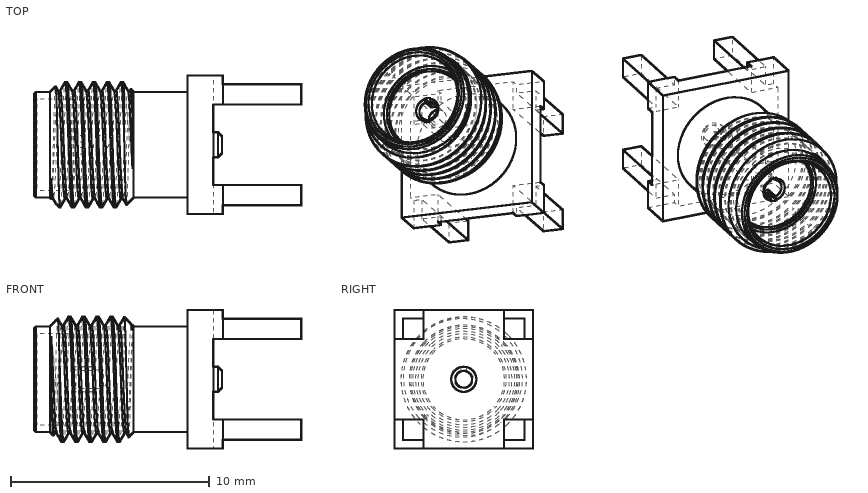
import cadquery as cq
import math


THREAD_START = 0.79
THREAD_END = 5.02
FLANGE_FRONT = 7.73
RECESS_FLOOR = 9.03
PIN_TIP = 9.48
FLANGE_BACK = 9.52
LEG_TIP = 13.47

FLANGE_SIZE = 7.0
LEG_PITCH = 5.08
LEG_SIZE = 1.03
RECESS_WIDTH = LEG_PITCH - LEG_SIZE

BARREL_RADIUS = 2.67
BARREL_CHAMFER = 0.1
BORE_RADIUS = 2.3
BORE_DEPTH = 1.9
MOUTH_CHAMFER = 0.13
DIELECTRIC_RADIUS = 2.05
DIELECTRIC_CHAMFER = 0.09
DIELECTRIC_FACE = BORE_DEPTH + DIELECTRIC_CHAMFER

THREAD_RADIUS = 3.16
THREADS_PER_INCH = 36
THREAD_PITCH = 25.4 / THREADS_PER_INCH
THREAD_ROOT_RADIUS = 2.74
CREST_WIDTH = 0.105
THREAD_ANGLE = 60
FLANK_SLOPE = math.tan(math.radians(THREAD_ANGLE / 2))
GROOVE_PHASE = 1.96
GROOVE_OVERCUT = 0.03

CONTACT_RADIUS = 0.635
SOCKET_RADIUS = 0.475
SOCKET_MOUTH_RADIUS = 0.6
SOCKET_DEPTH = 1.5
SOCKET_TIP_ANGLE = 118
SOCKET_TIP_LENGTH = SOCKET_RADIUS / math.tan(math.radians(SOCKET_TIP_ANGLE / 2))
SLOT_WIDTH = 0.28
SLOT_DEPTH = 1.0
PIN_CHAMFER = 0.21


def revolve_about_x(points):
    """Revolve a closed (x, radius) outline about the X axis."""
    return cq.Workplane("XY").polyline(points).close().revolve(360, (0, 0, 0), (1, 0, 0))


def plane_at(x):
    """Workplane across the axis at the given X; extrusions run toward +X."""
    return cq.Workplane("YZ").workplane(offset=x)


def make_flange():
    """Square flange whose rear is recessed to leave four corner pads, each with a leg."""
    flange = plane_at(FLANGE_FRONT).rect(FLANGE_SIZE, FLANGE_SIZE).extrude(FLANGE_BACK - FLANGE_FRONT)
    rear = plane_at(RECESS_FLOOR)
    recess_depth = FLANGE_BACK - RECESS_FLOOR
    flange = flange.cut(rear.rect(FLANGE_SIZE, RECESS_WIDTH).extrude(recess_depth))
    flange = flange.cut(rear.rect(RECESS_WIDTH, FLANGE_SIZE).extrude(recess_depth))
    legs = (
        rear.rect(LEG_PITCH, LEG_PITCH, forConstruction=True)
        .vertices()
        .rect(LEG_SIZE, LEG_SIZE)
        .extrude(LEG_TIP - RECESS_FLOOR)
    )
    return flange.union(legs)


def make_barrel():
    """Plain cylinder with a chamfered front rim."""
    return revolve_about_x([
        (0, 0),
        (0, BARREL_RADIUS - BARREL_CHAMFER),
        (BARREL_CHAMFER, BARREL_RADIUS),
        (FLANGE_FRONT, BARREL_RADIUS),
        (FLANGE_FRONT, 0),
    ])


def make_thread():
    """Tube cut by a right-hand helical groove, then trimmed to 45 degree ends."""
    end_chamfer = THREAD_RADIUS - BARREL_RADIUS
    inner_radius = BORE_RADIUS + MOUTH_CHAMFER
    envelope = revolve_about_x([
        (THREAD_START, inner_radius),
        (THREAD_START, BARREL_RADIUS),
        (THREAD_START + end_chamfer, THREAD_RADIUS),
        (THREAD_END - end_chamfer, THREAD_RADIUS),
        (THREAD_END, BARREL_RADIUS),
        (THREAD_END, inner_radius),
    ])

    turns_before = math.ceil((GROOVE_PHASE - THREAD_START) / THREAD_PITCH) + 1
    turns_after = math.ceil((THREAD_END - GROOVE_PHASE) / THREAD_PITCH) + 1
    groove_start = GROOVE_PHASE - turns_before * THREAD_PITCH
    groove_length = (turns_before + turns_after) * THREAD_PITCH
    half_top = (THREAD_PITCH - CREST_WIDTH) / 2
    half_root = half_top - (THREAD_RADIUS - THREAD_ROOT_RADIUS) * FLANK_SLOPE
    half_outer = half_top + GROOVE_OVERCUT * FLANK_SLOPE
    outer_radius = THREAD_RADIUS + GROOVE_OVERCUT
    helix = cq.Wire.makeHelix(THREAD_PITCH, groove_length, THREAD_RADIUS)
    groove = (
        cq.Workplane("XZ")
        .polyline([
            (THREAD_ROOT_RADIUS, -half_root),
            (outer_radius, -half_outer),
            (outer_radius, half_outer),
            (THREAD_ROOT_RADIUS, half_root),
        ])
        .close()
        .sweep(cq.Workplane(helix), isFrenet=True)
        .rotate((0, 0, 0), (1, 1, 1), 120)
        .translate((groove_start, 0, 0))
    )
    tube = (
        plane_at(THREAD_START)
        .circle(THREAD_RADIUS)
        .circle(inner_radius)
        .extrude(THREAD_END - THREAD_START)
    )
    return tube.cut(groove).intersect(envelope)


def make_mouth_cut():
    """Chamfered bore ending at a shoulder, with a conical step down to the dielectric face."""
    return revolve_about_x([
        (0, 0),
        (0, BORE_RADIUS + MOUTH_CHAMFER),
        (MOUTH_CHAMFER, BORE_RADIUS),
        (BORE_DEPTH, BORE_RADIUS),
        (BORE_DEPTH, DIELECTRIC_RADIUS + DIELECTRIC_CHAMFER),
        (DIELECTRIC_FACE, DIELECTRIC_RADIUS),
        (DIELECTRIC_FACE, 0),
    ])


def make_socket_cut():
    """Countersunk contact hole with a conical bottom, crossed by a vertical slot."""
    countersink = SOCKET_MOUTH_RADIUS - SOCKET_RADIUS
    hole_end = DIELECTRIC_FACE + SOCKET_DEPTH
    hole = revolve_about_x([
        (DIELECTRIC_FACE, 0),
        (DIELECTRIC_FACE, SOCKET_MOUTH_RADIUS),
        (DIELECTRIC_FACE + countersink, SOCKET_RADIUS),
        (hole_end, SOCKET_RADIUS),
        (hole_end + SOCKET_TIP_LENGTH, 0),
    ])
    face = plane_at(DIELECTRIC_FACE)
    slot_bar = face.rect(SLOT_WIDTH, 2 * CONTACT_RADIUS).extrude(SLOT_DEPTH)
    contact_envelope = face.circle(CONTACT_RADIUS).extrude(SLOT_DEPTH)
    return hole.union(slot_bar.intersect(contact_envelope))


def make_pin():
    """Chamfered end of the centre contact, standing out of the recess floor."""
    return revolve_about_x([
        (FLANGE_FRONT, 0),
        (FLANGE_FRONT, CONTACT_RADIUS),
        (PIN_TIP - PIN_CHAMFER, CONTACT_RADIUS),
        (PIN_TIP, CONTACT_RADIUS - PIN_CHAMFER),
        (PIN_TIP, 0),
    ])


body = make_flange().union(make_barrel()).union(make_thread()).union(make_pin())
result = body.cut(make_mouth_cut()).cut(make_socket_cut())